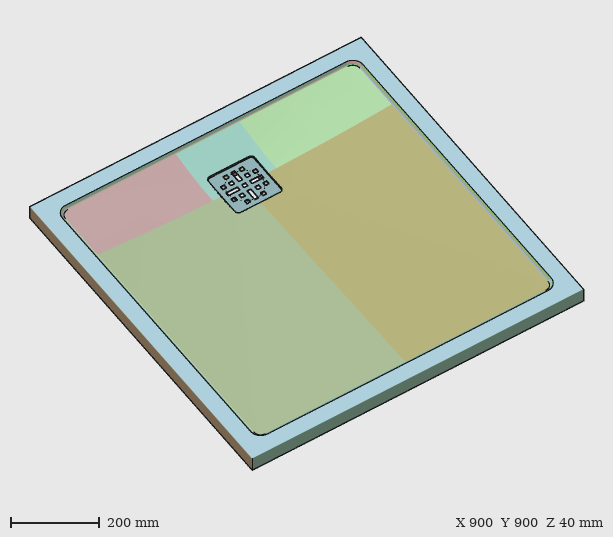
import cadquery as cq
import math

SIDE = 900.0
HEIGHT = 40.0
OUTER_EDGE_RADIUS = 1.0

RIM_WIDTH = 42.0
WALL_RUN = 6.0
WALL_DROP = 7.0
WALL_FOOT_RADIUS = 4.5
BASIN_CORNER_RADIUS = 27.0
FLOOR_FALL = 18.0

DRAIN_X = -250.0
DRAIN_DIAMETER = 90.0
STRIP_HALF_WIDTH = 86.0
COVER_SIDE = 124.0
COVER_CORNER_RADIUS = 9.0
COVER_THICKNESS = 3.0
COVER_GAP = 1.0

CELL_PITCH = 22.0
CELL_SIDE = 10.0
GRID_REACH = 2

BASIN_SIDE = SIDE - 2 * RIM_WIDTH
WALL_FOOT_SIDE = BASIN_SIDE - 2 * WALL_RUN
WALL_ANGLE = math.atan2(WALL_DROP, WALL_RUN)
WALL_FOOT_REACH = WALL_FOOT_RADIUS * math.tan(WALL_ANGLE / 2)
FLOOR_HALF = WALL_FOOT_SIDE / 2 - WALL_FOOT_REACH
FLOOR_CORNER_RADIUS = BASIN_CORNER_RADIUS - WALL_RUN - WALL_FOOT_REACH
FLOOR_EDGE_Z = HEIGHT - WALL_DROP
DRAIN_Z = FLOOR_EDGE_Z - FLOOR_FALL
SEAT_Z = DRAIN_Z - COVER_THICKNESS


def rounded_square_prism(side, radius, bottom, top):
    return (
        cq.Workplane("XY", origin=(0, 0, bottom))
        .rect(side, side)
        .extrude(top - bottom)
        .edges("|Z")
        .fillet(radius)
    )


def rounded_square_sketch(side, radius):
    return cq.Sketch().rect(side, side).vertices().fillet(radius)


def basin_wall_cutter():
    """Space between the sloping basin walls, rounded where they run into the floor."""
    foot_outline = rounded_square_sketch(WALL_FOOT_SIDE, BASIN_CORNER_RADIUS - WALL_RUN)
    rim_outline = rounded_square_sketch(BASIN_SIDE, BASIN_CORNER_RADIUS)
    cutter = (
        cq.Workplane("XY", origin=(0, 0, FLOOR_EDGE_Z))
        .placeSketch(foot_outline, rim_outline.moved(cq.Location(cq.Vector(0, 0, WALL_DROP))))
        .loft()
    )
    return cutter.faces("<Z").edges().fillet(WALL_FOOT_RADIUS)


def floor_section(x, y_limits, fall):
    """Closed profile across the floor: its bottom is a parabola that lies lower than the floor
    edge by fall at y = 0 and meets it at y = FLOOR_HALF, split at the given limits."""
    curvature = fall / FLOOR_HALF**2
    lowest_z = FLOOR_EDGE_Z - fall

    def parabola_piece(y_start, y_end):
        """Three control points give a parabola exactly."""
        start = cq.Vector(x, y_start, lowest_z + curvature * y_start**2)
        middle = cq.Vector(x, (y_start + y_end) / 2, lowest_z + curvature * y_start * y_end)
        end = cq.Vector(x, y_end, lowest_z + curvature * y_end**2)
        return cq.Edge.makeBezier([start, middle, end])

    bottom = [parabola_piece(y_start, y_end) for y_start, y_end in zip(y_limits, y_limits[1:])]
    upper_corners = [
        bottom[-1].endPoint(),
        cq.Vector(x, y_limits[-1], HEIGHT),
        cq.Vector(x, y_limits[0], HEIGHT),
        bottom[0].startPoint(),
    ]
    closing = [cq.Edge.makeLine(p, q) for p, q in zip(upper_corners, upper_corners[1:])]
    return cq.Wire.assembleEdges(bottom + closing)


def floor_cutter(sections):
    """Space above the floor through the given sections, trimmed to the rounded floor outline."""
    slope = cq.Workplane(cq.Solid.makeLoft(sections, len(sections) == 2))
    outline = rounded_square_prism(2 * FLOOR_HALF, FLOOR_CORNER_RADIUS, 0, FLOOR_EDGE_Z)
    return outline.intersect(slope)


def far_floor_cutter():
    """Two patches that rise evenly from the drain line to the far wall."""
    y_limits = [-FLOOR_HALF, 0, FLOOR_HALF]
    return floor_cutter(
        [floor_section(DRAIN_X, y_limits, FLOOR_FALL), floor_section(FLOOR_HALF, y_limits, 0)]
    )


def near_floor_cutter():
    """Three patches that steepen from the drain line to the near wall; the middle one is a
    strip that leads straight to the drain."""
    y_limits = [-FLOOR_HALF, -STRIP_HALF_WIDTH, STRIP_HALF_WIDTH, FLOOR_HALF]
    run = FLOOR_HALF + DRAIN_X
    sections = [
        floor_section(DRAIN_X - part * run, y_limits, FLOOR_FALL * (1 - part**2))
        for part in (0, 0.5, 1)
    ]
    return floor_cutter(sections)


def make_tray():
    tray = cq.Workplane("XY").box(SIDE, SIDE, HEIGHT, centered=(True, True, False))
    tray = tray.faces(">Z").edges().fillet(OUTER_EDGE_RADIUS)
    tray = tray.cut(basin_wall_cutter()).cut(far_floor_cutter()).cut(near_floor_cutter())
    seat = rounded_square_prism(
        COVER_SIDE + 2 * COVER_GAP, COVER_CORNER_RADIUS + COVER_GAP, SEAT_Z, HEIGHT
    ).translate((DRAIN_X, 0, 0))
    drain = cq.Workplane("XY").center(DRAIN_X, 0).circle(DRAIN_DIAMETER / 2).extrude(HEIGHT)
    return tray.cut(seat).cut(drain)


def cover_openings():
    """Rows and columns of square cells without the corner ones; the middle row and column
    have each outer pair of cells joined into a slot."""
    cells = range(-GRID_REACH, GRID_REACH + 1)
    square_centers = [
        (i * CELL_PITCH, j * CELL_PITCH)
        for i in cells
        for j in cells
        if abs(i) + abs(j) < 2 * GRID_REACH and (i, j).count(0) != 1
    ]
    slot_length = (GRID_REACH - 1) * CELL_PITCH + CELL_SIDE
    slot_offset = (1 + GRID_REACH) / 2 * CELL_PITCH
    plane = cq.Workplane("XY", origin=(0, 0, SEAT_Z))
    squares = plane.pushPoints(square_centers).rect(CELL_SIDE, CELL_SIDE).extrude(COVER_THICKNESS)
    row_slots = (
        plane.pushPoints([(-slot_offset, 0), (slot_offset, 0)])
        .rect(slot_length, CELL_SIDE)
        .extrude(COVER_THICKNESS)
    )
    column_slots = row_slots.rotate((0, 0, 0), (0, 0, 1), 90)
    return squares.add(row_slots).add(column_slots)


def make_cover():
    cover = rounded_square_prism(COVER_SIDE, COVER_CORNER_RADIUS, SEAT_Z, DRAIN_Z)
    for opening in cover_openings().vals():
        cover = cover.cut(cq.Workplane(opening))
    return cover.translate((DRAIN_X, 0, 0))


tray = make_tray()
cover = make_cover()

result = cq.Compound.makeCompound([tray.val(), cover.val()])